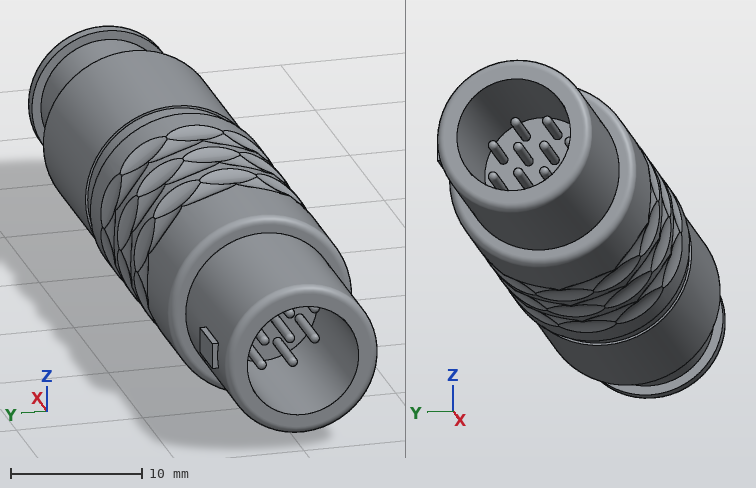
import cadquery as cq

length = 59.5

nose_end = 11.95
nose_radius = 6.0
nose_fillet = 0.6
bore_radius = 4.4
bore_depth = 11.9

sleeve_end = 35.05
sleeve_radius = 7.25
sleeve_fillet = 0.6

collar_end = 37.55
collar_radius = 6.8
barrel_end = 49.9
barrel_radius = 6.95
barrel_fillet = 0.2

flange_start = 57.4
taper_start = 58.4
neck_radius = 5.05
flange_radius = 5.8
tail_radius = 4.75

key_start = 2.75
key_length = 3.55
key_width = 2.0
key_height = 0.4
key_embed = 0.6

pin_radius = 0.35
pin_length = 4.75
pin_tip_fillet = 0.33
outer_pin_count = 8
outer_pin_circle = 3.2
inner_pin_count = 4
inner_pin_circle = 1.4

band_count = 3
rows_per_band = 2
band_pitch = 4.8
first_row_center = 20.05
row_spacing = 1.2
dimples_per_row = 10
dimple_depth = 0.4
dimple_half_width = 1.55
dimple_span = 4.75


def cylinder(start, end, radius):
    """Round section along X between two stations."""
    return cq.Workplane("YZ").workplane(offset=start).circle(radius).extrude(end - start)


def make_nose():
    nose = cylinder(0, sleeve_end, nose_radius).faces("<X").edges().fillet(nose_fillet)
    return nose.cut(cylinder(0, bore_depth, bore_radius))


def make_sleeve():
    sleeve = cylinder(nose_end, sleeve_end, sleeve_radius)
    sleeve = sleeve.faces("<X").edges().fillet(sleeve_fillet)
    return cq.Workplane(sleeve.val().cut(*make_dimple_scoops()))


def make_dimple_scoops():
    """Concave cylindrical scoops whose axes run tangentially around the sleeve."""
    scoop_radius = (dimple_half_width**2 + dimple_depth**2) / (2 * dimple_depth)
    scoop_axis_height = sleeve_radius - dimple_depth + scoop_radius
    angle_step = 360 / dimples_per_row
    scoops = []
    for band in range(band_count):
        for row in range(rows_per_band):
            x = first_row_center + band * band_pitch + row * row_spacing
            scoop = cq.Solid.makeCylinder(
                scoop_radius,
                dimple_span,
                cq.Vector(x, -scoop_axis_height, -dimple_span / 2),
                cq.Vector(0, 0, 1),
            )
            for index in range(dimples_per_row):
                angle = (index + row / rows_per_band) * angle_step
                scoops.append(scoop.rotate(cq.Vector(0, 0, 0), cq.Vector(1, 0, 0), angle))
    return scoops


def make_rear():
    collar = cylinder(sleeve_end, collar_end, collar_radius)
    barrel = cylinder(collar_end, barrel_end, barrel_radius).faces(">X").edges().fillet(barrel_fillet)
    tail = (
        cq.Workplane("XY")
        .moveTo(barrel_end, 0)
        .lineTo(barrel_end, neck_radius)
        .lineTo(flange_start, neck_radius)
        .lineTo(flange_start, flange_radius)
        .lineTo(taper_start, flange_radius)
        .lineTo(length, tail_radius)
        .lineTo(length, 0)
        .close()
        .revolve(360, (0, 0, 0), (1, 0, 0))
    )
    return collar.union(barrel).union(tail)


def make_key():
    depth = key_height + key_embed
    key = cq.Workplane("XY").box(key_length, depth, key_width, centered=(False, False, True))
    return key.translate((key_start, nose_radius - key_embed, 0))


def make_pins(count, circle_radius):
    """Round-tipped pins evenly spaced on a circle, symmetric about Y and Z."""
    start_angle = 180 / count
    return (
        cq.Workplane("YZ")
        .workplane(offset=bore_depth)
        .polarArray(circle_radius, start_angle, 360, count)
        .circle(pin_radius)
        .extrude(-pin_length)
        .faces("<X")
        .edges()
        .fillet(pin_tip_fillet)
    )


result = (
    make_nose()
    .union(make_sleeve())
    .union(make_rear())
    .union(make_key())
    .union(make_pins(outer_pin_count, outer_pin_circle))
    .union(make_pins(inner_pin_count, inner_pin_circle))
)